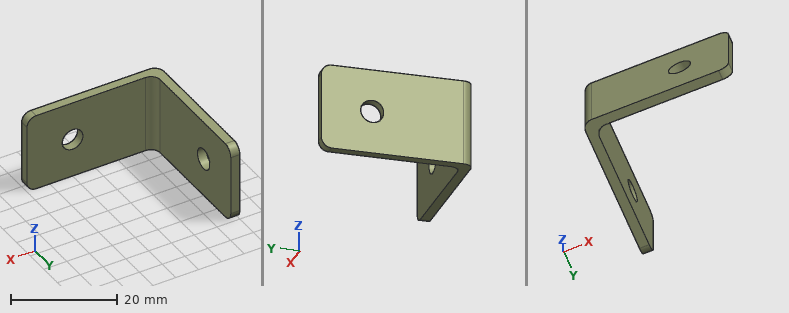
import cadquery as cq

leg_length = 30.0
height = 17.0
thickness = 2.0
bend_outer_radius = 2.0
bend_inner_radius = 2.0
corner_radius = 2.0
hole_diameter = 4.5
hole_distance = 20.0


def make_angle():
    """L-shaped plate with a rounded bend along Z; outer bend corner at the origin."""
    outline = [
        (0, 0),
        (leg_length, 0),
        (leg_length, thickness),
        (thickness, thickness),
        (thickness, leg_length),
        (0, leg_length),
    ]
    body = cq.Workplane("XY").polyline(outline).close().extrude(height)
    inner_corner = cq.selectors.NearestToPointSelector((thickness, thickness, height / 2))
    outer_corner = cq.selectors.NearestToPointSelector((0, 0, height / 2))
    body = body.edges(inner_corner).fillet(bend_inner_radius)
    return body.edges(outer_corner).fillet(bend_outer_radius)


def round_leg_ends(body):
    """Round the top and bottom corners at the free end of each leg."""
    body = body.faces(">X").edges("|Y").fillet(corner_radius)
    return body.faces(">Y").edges("|X").fillet(corner_radius)


def leg_hole(center, direction):
    """Cylinder that cuts the mounting hole through one leg."""
    cylinder = cq.Solid.makeCylinder(
        hole_diameter / 2, thickness, cq.Vector(*center), cq.Vector(*direction)
    )
    return cq.Workplane(cylinder)


result = round_leg_ends(make_angle())
result = result.cut(leg_hole((hole_distance, 0, height / 2), (0, 1, 0)))
result = result.cut(leg_hole((0, hole_distance, height / 2), (1, 0, 0)))